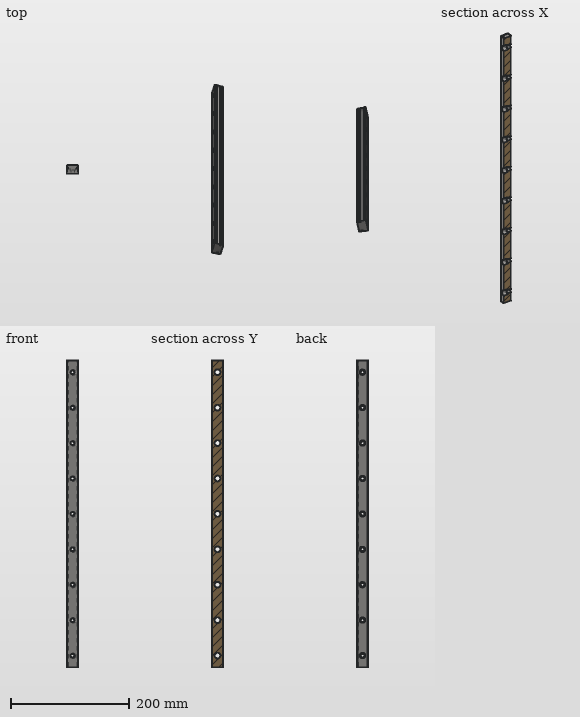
import cadquery as cq
import math

width = 20.0
height = 15.5
length = 520.0
half_height = height / 2

base_half_width = width / 2
base_chamfer = 0.9
flank_half_width = 9.58
shoulder_y = -3.95
shoulder_tilt = 30.0

race_sag = 0.26

upper_race_width = 1.22
upper_race_height = 1.77

lip_bottom_y = 3.7
groove_floor_half_width = 7.4
groove_floor_top_y = 2.8
groove_floor_bottom_y = 1.5
groove_mouth_bottom_y = 1.15

hole_count = 9
hole_pitch = 60.0
hole_diameter = 6.0
counterbore_diameter = 9.5
counterbore_depth = 8.5


def arc_middle(start, end, sag):
    """Middle point of an arc that bows to the left of the line from start to end."""
    dx = end[0] - start[0]
    dy = end[1] - start[1]
    chord = math.hypot(dx, dy)
    middle_x = (start[0] + end[0]) / 2 - sag * dy / chord
    middle_y = (start[1] + end[1]) / 2 + sag * dx / chord
    return (middle_x, middle_y)


def half_bar():
    """The +X half of the rail, with its section drawn from the base up to the head."""
    shoulder_rise = (base_half_width - flank_half_width) / math.tan(math.radians(shoulder_tilt))
    floor_top = (groove_floor_half_width, groove_floor_top_y)
    lip_bottom = (flank_half_width, lip_bottom_y)
    lip_top = (flank_half_width, half_height - upper_race_height)
    head_corner = (flank_half_width - upper_race_width, half_height)
    section = (
        cq.Workplane("XY")
        .moveTo(0, -half_height)
        .lineTo(base_half_width - base_chamfer, -half_height)
        .lineTo(base_half_width, -half_height + base_chamfer)
        .lineTo(base_half_width, shoulder_y)
        .lineTo(flank_half_width, shoulder_y + shoulder_rise)
        .lineTo(flank_half_width, groove_mouth_bottom_y)
        .lineTo(groove_floor_half_width, groove_floor_bottom_y)
        .lineTo(*floor_top)
        .threePointArc(arc_middle(floor_top, lip_bottom, race_sag), lip_bottom)
        .lineTo(*lip_top)
        .threePointArc(arc_middle(lip_top, head_corner, race_sag), head_corner)
        .lineTo(0, half_height)
        .close()
    )
    return section.extrude(length / 2, both=True)


def rail_bar():
    right_half = half_bar()
    return right_half.union(right_half.mirror("YZ")).clean()


def mounting_holes():
    """Cutters for the row of holes, counterbored from the head side."""
    first_z = -hole_pitch * (hole_count - 1) / 2
    centres = [(0, first_z + i * hole_pitch) for i in range(hole_count)]
    head_face = cq.Workplane("XZ", origin=(0, half_height, 0)).pushPoints(centres)
    through_holes = head_face.circle(hole_diameter / 2).extrude(height)
    counterbores = head_face.circle(counterbore_diameter / 2).extrude(counterbore_depth)
    return through_holes.union(counterbores)


result = rail_bar().cut(mounting_holes())